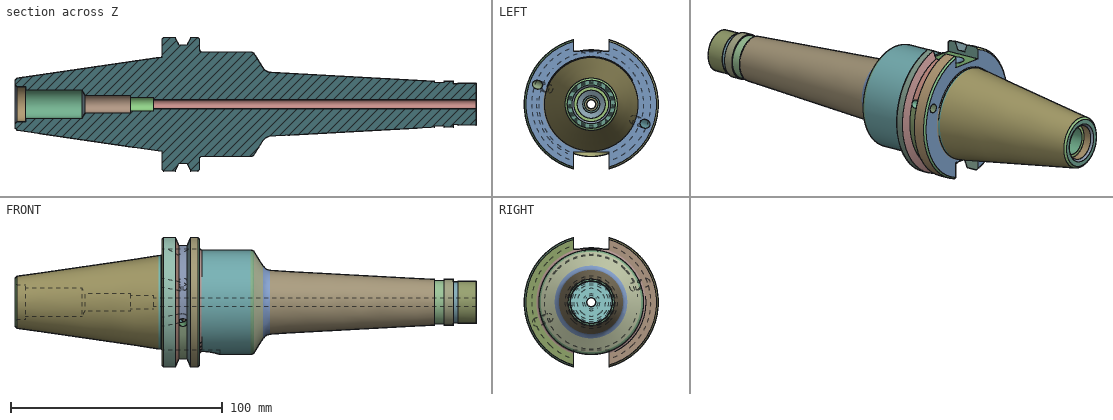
import cadquery as cq
import math

TOTAL_LENGTH = 218.2
SELECTION_MARGIN = 0.02

GAUGE_RADIUS = 44.3 / 2
TAPER_LENGTH = 67.9
TAPER_SLOPE = 7 / 48
TAPER_END_CHAMFER = 0.9
NECK_FILLET = 0.5

FLANGE_START = 69.5
FLANGE_END = 87.3
FLANGE_RADIUS = 63.5 / 2
FLANGE_CHAMFER = 0.9
GROOVE_MIDDLE = 79.5
GROOVE_WIDTH = 7.2
GROOVE_FLOOR_WIDTH = 4.0
GROOVE_FLOOR_RADIUS = 28.2

BODY_RADIUS = 49.5 / 2
BODY_START_FILLET = 1.0
BODY_END = 112.6
BODY_END_FILLET = 2.2
BODY_CONE_ANGLE = math.radians(58)

SHANK_START_RADIUS = 15.3
SHANK_END_RADIUS = 11.0
SHANK_START_FILLET = 4.4
SHANK_END = 198.4
COLLAR_START = 203.0
COLLAR_END = 207.3
TIP_START = 209.5
RING_RADIUS = 20.7 / 2
TIP_GROOVE_RADIUS = 9.8
TIP_RADIUS = 10.0
TIP_CHAMFER = 0.2

MOUTH_RADIUS = 9.2
PILOT_RADIUS = 16.4 / 2
PILOT_DEPTH = 5.0
THREAD_RADIUS = 13.3 / 2
THREAD_DEPTH = 31.6
DRILL_POINT_ANGLE = math.radians(30)
DRILL_RADIUS = 8.0 / 2
DRILL_DEPTH = 54.5
STEP_RADIUS = 6.3 / 2
STEP_DEPTH = 65.5
THROUGH_RADIUS = 4.1 / 2

SLOT_WIDTH = 16.5
TOP_SLOT_FLOOR = 25.0
BOTTOM_SLOT_FLOOR = 22.5
BOTTOM_SLOT_CENTRE = 88.6
DIMPLE_DIAMETER = 9.5
DIMPLE_DEPTH = 2.8
DIMPLE_X = 77.3

COOLANT_PITCH_RADIUS = 27.0
COOLANT_ANGLE = 20
COOLANT_FACE_DIAMETER = 4.1
COOLANT_TILT = math.radians(30)
COOLANT_OVERSHOOT = 2.2
COOLANT_CROSS_DIAMETER = 4.0


def revolved(points):
    """Turn an (x, radius) outline about the X axis."""
    return cq.Workplane("XY").polyline(points).close().revolve(360, (0, 0, 0), (1, 0, 0))


def edge_ring(x, radius):
    """Select the circular edge of that radius at that x."""
    return cq.selectors.BoxSelector(
        (x - SELECTION_MARGIN, -radius - SELECTION_MARGIN, -radius - SELECTION_MARGIN),
        (x + SELECTION_MARGIN, radius + SELECTION_MARGIN, radius + SELECTION_MARGIN),
        boundingbox=True,
    )


def turned_body():
    taper_tip_radius = GAUGE_RADIUS - TAPER_LENGTH * TAPER_SLOPE
    taper_chamfer_radius = taper_tip_radius - TAPER_END_CHAMFER
    shank_start = BODY_END + (BODY_RADIUS - SHANK_START_RADIUS) / math.tan(BODY_CONE_ANGLE)
    body = revolved([
        (0, 0),
        (0, taper_chamfer_radius),
        (TAPER_END_CHAMFER, taper_tip_radius + TAPER_END_CHAMFER * TAPER_SLOPE),
        (TAPER_LENGTH, GAUGE_RADIUS),
        (FLANGE_START, GAUGE_RADIUS),
        (FLANGE_START, FLANGE_RADIUS - FLANGE_CHAMFER),
        (FLANGE_START + FLANGE_CHAMFER, FLANGE_RADIUS),
        (GROOVE_MIDDLE - GROOVE_WIDTH / 2, FLANGE_RADIUS),
        (GROOVE_MIDDLE - GROOVE_FLOOR_WIDTH / 2, GROOVE_FLOOR_RADIUS),
        (GROOVE_MIDDLE + GROOVE_FLOOR_WIDTH / 2, GROOVE_FLOOR_RADIUS),
        (GROOVE_MIDDLE + GROOVE_WIDTH / 2, FLANGE_RADIUS),
        (FLANGE_END - FLANGE_CHAMFER, FLANGE_RADIUS),
        (FLANGE_END, FLANGE_RADIUS - FLANGE_CHAMFER),
        (FLANGE_END, BODY_RADIUS),
        (BODY_END, BODY_RADIUS),
        (shank_start, SHANK_START_RADIUS),
        (SHANK_END, SHANK_END_RADIUS),
        (SHANK_END, RING_RADIUS),
        (COLLAR_START, RING_RADIUS),
        (COLLAR_START, SHANK_END_RADIUS),
        (COLLAR_END, SHANK_END_RADIUS),
        (COLLAR_END, TIP_GROOVE_RADIUS),
        (TIP_START, TIP_GROOVE_RADIUS),
        (TIP_START, TIP_RADIUS),
        (TOTAL_LENGTH - TIP_CHAMFER, TIP_RADIUS),
        (TOTAL_LENGTH, TIP_RADIUS - TIP_CHAMFER),
        (TOTAL_LENGTH, 0),
    ])
    body = body.edges(edge_ring(FLANGE_START, GAUGE_RADIUS)).fillet(NECK_FILLET)
    body = body.edges(edge_ring(FLANGE_END, BODY_RADIUS)).fillet(BODY_START_FILLET)
    body = body.edges(edge_ring(BODY_END, BODY_RADIUS)).fillet(BODY_END_FILLET)
    return body.edges(edge_ring(shank_start, SHANK_START_RADIUS)).fillet(SHANK_START_FILLET)


def bore():
    mouth_depth = MOUTH_RADIUS - PILOT_RADIUS
    drill_point = (THREAD_RADIUS - DRILL_RADIUS) * math.tan(DRILL_POINT_ANGLE)
    return revolved([
        (0, 0),
        (0, MOUTH_RADIUS),
        (mouth_depth, PILOT_RADIUS),
        (PILOT_DEPTH, PILOT_RADIUS),
        (PILOT_DEPTH, THREAD_RADIUS),
        (THREAD_DEPTH, THREAD_RADIUS),
        (THREAD_DEPTH + drill_point, DRILL_RADIUS),
        (DRILL_DEPTH, DRILL_RADIUS),
        (DRILL_DEPTH, STEP_RADIUS),
        (STEP_DEPTH, STEP_RADIUS),
        (STEP_DEPTH, THROUGH_RADIUS),
        (TOTAL_LENGTH, THROUGH_RADIUS),
        (TOTAL_LENGTH, 0),
    ])


def drive_slots():
    """Straight slot on top; the deeper one below ends in the round of its cutter."""
    slot_length = BOTTOM_SLOT_CENTRE - FLANGE_START
    slot_middle = FLANGE_START + slot_length / 2
    top = (
        cq.Workplane("XY", origin=(0, 0, TOP_SLOT_FLOOR))
        .center((FLANGE_START + FLANGE_END) / 2, 0)
        .rect(FLANGE_END - FLANGE_START, SLOT_WIDTH)
        .extrude(FLANGE_RADIUS)
    )
    lower_plane = cq.Workplane("XY", origin=(0, 0, -BOTTOM_SLOT_FLOOR))
    bottom = lower_plane.center(slot_middle, 0).rect(slot_length, SLOT_WIDTH).extrude(-FLANGE_RADIUS)
    bottom_end = lower_plane.center(BOTTOM_SLOT_CENTRE, 0).circle(SLOT_WIDTH / 2).extrude(-FLANGE_RADIUS)
    return top.union(bottom).union(bottom_end)


def dimple():
    """Conical sink in the floor of the top slot."""
    return cq.Workplane(
        cq.Solid.makeCone(
            DIMPLE_DIAMETER / 2,
            0,
            DIMPLE_DEPTH,
            pnt=cq.Vector(DIMPLE_X, 0, TOP_SLOT_FLOOR),
            dir=cq.Vector(0, 0, -1),
        )
    )


def coolant_hole(angle):
    """Hole leaning inward from the flange face, met by a radial hole from the groove floor."""
    outward = cq.Vector(0, math.cos(math.radians(angle)), math.sin(math.radians(angle)))
    along = cq.Vector(1, 0, 0)
    leaning = along * math.cos(COOLANT_TILT) - outward * math.sin(COOLANT_TILT)
    depth = (GROOVE_MIDDLE - FLANGE_START) / math.cos(COOLANT_TILT)
    meeting_radius = COOLANT_PITCH_RADIUS - depth * math.sin(COOLANT_TILT)
    mouth = outward * COOLANT_PITCH_RADIUS + along * FLANGE_START
    face_hole = cq.Solid.makeCylinder(
        COOLANT_FACE_DIAMETER / 2,
        COOLANT_OVERSHOOT + depth,
        mouth - leaning * COOLANT_OVERSHOOT,
        leaning,
    )
    cross_hole = cq.Solid.makeCylinder(
        COOLANT_CROSS_DIAMETER / 2,
        FLANGE_RADIUS - meeting_radius,
        outward * meeting_radius + along * GROOVE_MIDDLE,
        outward,
    )
    return cq.Workplane(face_hole.fuse(cross_hole))


result = turned_body().cut(bore()).cut(drive_slots()).cut(dimple())
for start_angle in (0, 180):
    result = result.cut(coolant_hole(start_angle + COOLANT_ANGLE))